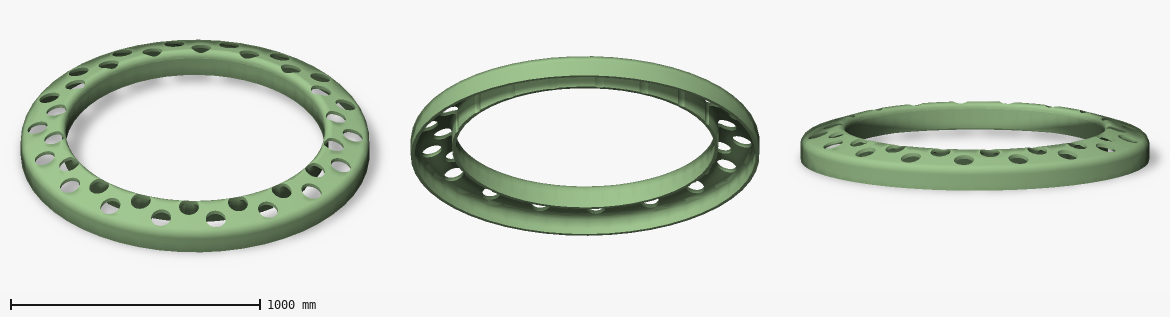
import cadquery as cq
import math

outer_diameter = 1400.0
outer_wall_inside_diameter = 1370.0
bore_diameter = 1040.0
height = 140.0
bore_wall_bottom = 35.0
cone_angle = math.radians(18)
rim_round = 35.0
crest_round = 25.0

outer_radius = outer_diameter / 2
bore_radius = bore_diameter / 2
wall = (outer_diameter - outer_wall_inside_diameter) / 2

hole_diameter = 80.0
holes_per_circle = 18
outer_hole_circle = 633.0
inner_hole_circle = 570.0
pitch_angle = 360 / holes_per_circle

crest_x = bore_radius + crest_round
crest_z = height - crest_round
rim_x = outer_radius - rim_round
rim_z = (
    crest_z
    + (crest_round - rim_round) / math.cos(cone_angle)
    - (rim_x - crest_x) * math.tan(cone_angle)
)

outward = 0
cone_normal = math.pi / 2 - cone_angle
inward = math.pi


def rim_point(radius, angle):
    """Point on a circle about the rim round's centre."""
    return rim_x + radius * math.cos(angle), rim_z + radius * math.sin(angle)


def crest_point(radius, angle):
    """Point on a circle about the crest round's centre."""
    return crest_x + radius * math.cos(angle), crest_z + radius * math.sin(angle)


def ring_shell():
    """Revolve the shell section: outer skin from rim to bore, then the inner skin back."""
    rim_middle = (outward + cone_normal) / 2
    crest_middle = (cone_normal + inward) / 2
    rim_inside = rim_round - wall
    crest_inside = crest_round - wall
    section = (
        cq.Workplane("XZ")
        .moveTo(outer_radius, 0)
        .lineTo(*rim_point(rim_round, outward))
        .threePointArc(rim_point(rim_round, rim_middle), rim_point(rim_round, cone_normal))
        .lineTo(*crest_point(crest_round, cone_normal))
        .threePointArc(crest_point(crest_round, crest_middle), crest_point(crest_round, inward))
        .lineTo(bore_radius, bore_wall_bottom)
        .lineTo(bore_radius + wall, bore_wall_bottom)
        .lineTo(*crest_point(crest_inside, inward))
        .threePointArc(crest_point(crest_inside, crest_middle), crest_point(crest_inside, cone_normal))
        .lineTo(*rim_point(rim_inside, cone_normal))
        .threePointArc(rim_point(rim_inside, rim_middle), rim_point(rim_inside, outward))
        .lineTo(outer_radius - wall, 0)
        .close()
    )
    return section.revolve(360, (0, 0, 0), (0, 1, 0))


def hole_circle(circle_radius, start_angle):
    """Vertical through-hole cutters evenly spaced on one circle."""
    return (
        cq.Workplane("XY")
        .polarArray(circle_radius, start_angle, 360, holes_per_circle)
        .circle(hole_diameter / 2)
        .extrude(height)
    )


result = (
    ring_shell()
    .cut(hole_circle(outer_hole_circle, pitch_angle / 2))
    .cut(hole_circle(inner_hole_circle, 0))
)